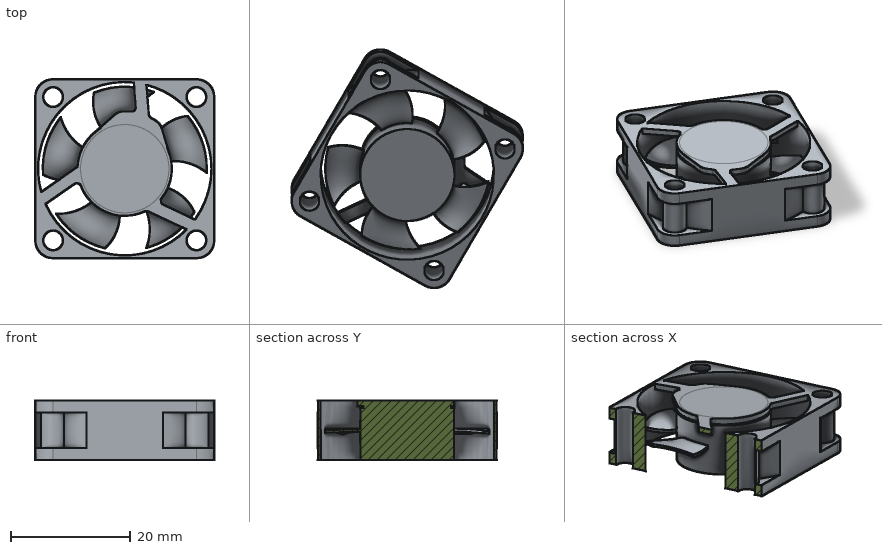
import cadquery as cq
import math

frame_side = 30.0
frame_height = 10.0
corner_radius = 3.0
bore_radius = 14.5
flange_thickness = 2.0
duct_wall_radius = 16.3
mount_spacing = 24.0
mount_hole_diameter = 3.25
post_radius = 2.0

plate_radius = 7.9
plate_thickness = 1.0
spoke_count = 3
spoke_width = 2.1
spoke_offset = 3.75
spoke_embed = 0.2
spoke_angle = 94.8
lobe_radius = 9.6
lobe_start_normal = 16.9
lobe_end_normal = 131.4
spoke_root_fillet = 0.75
lobe_fillet = 2.4

rotor_radius = 7.9
rotor_gap = 0.25
motor_radius = 7.4
blade_count = 5
blade_tip_radius = 13.75
blade_root_radius = 7.8
blade_mid_radius = 10.9
blade_thickness = 0.5
blade_crest_height = 5.3
blade_camber_radius = 28.0
blade_crest_angle = 20.0
leading_edge_angles = (9.2, 4.5, -2.9)
trailing_edge_angles = (48.1, 46.2, 40.1)


def polar(radius, angle):
    """Point at a radius and an angle in degrees."""
    return (radius * math.cos(math.radians(angle)), radius * math.sin(math.radians(angle)))


def cylinder(radius, bottom, top):
    """Upright cylinder on the fan axis between two heights."""
    return cq.Workplane("XY").workplane(offset=bottom).circle(radius).extrude(top - bottom)


def make_frame():
    """Square frame with open corners around four screw posts."""
    pocket_height = frame_height - 2 * flange_thickness
    middle = cq.Workplane("XY").workplane(offset=flange_thickness)

    frame = cq.Workplane("XY").rect(frame_side, frame_side).extrude(frame_height)
    frame = frame.edges("|Z").fillet(corner_radius)

    pockets = middle.rect(frame_side, frame_side).extrude(pocket_height)
    pockets = pockets.cut(cylinder(duct_wall_radius, flange_thickness, frame_height))
    posts = middle.rect(mount_spacing, mount_spacing, forConstruction=True).vertices()
    posts = posts.circle(post_radius).extrude(pocket_height)

    holes = cq.Workplane("XY").rect(mount_spacing, mount_spacing, forConstruction=True).vertices()
    holes = holes.circle(mount_hole_diameter / 2).extrude(frame_height)
    bore = cylinder(bore_radius, 0, frame_height)
    return frame.cut(pockets).union(posts).cut(bore).cut(holes)


def make_lobe(bottom):
    """Widened part of the motor plate: straight sides tangent to the plate, round outside."""
    half_span = math.degrees(math.acos(plate_radius / lobe_radius))
    start = lobe_start_normal + half_span
    end = lobe_end_normal - half_span
    lobe = (
        cq.Workplane("XY")
        .workplane(offset=bottom)
        .lineTo(*polar(plate_radius, lobe_start_normal))
        .lineTo(*polar(lobe_radius, start))
        .threePointArc(polar(lobe_radius, (start + end) / 2), polar(lobe_radius, end))
        .lineTo(*polar(plate_radius, lobe_end_normal))
        .close()
        .extrude(plate_thickness)
    )
    for angle in (start, end):
        corner_point = (*polar(lobe_radius, angle), bottom + plate_thickness / 2)
        corner = cq.selectors.NearestToPointSelector(corner_point)
        lobe = lobe.edges("|Z").edges(corner).fillet(lobe_fillet)
    return lobe


def make_spider():
    """Motor plate with its lobe, and three spokes reaching the bore."""
    bottom = frame_height - plate_thickness
    mid_height = frame_height - plate_thickness / 2
    spider = cylinder(plate_radius, bottom, frame_height).union(make_lobe(bottom))
    reach = bore_radius + spoke_embed
    root_points = []
    for index in range(spoke_count):
        angle = spoke_angle + index * 360 / spoke_count
        spoke = (
            cq.Workplane("XY")
            .workplane(offset=bottom)
            .center(reach / 2, -spoke_offset)
            .rect(reach, spoke_width)
            .extrude(plate_thickness)
            .rotate((0, 0, 0), (0, 0, 1), angle)
        )
        spider = spider.union(spoke)
        root_radius = lobe_radius if index == 0 else plate_radius
        for side in (-1, 1):
            edge_offset = spoke_offset + side * spoke_width / 2
            root_angle = angle - math.degrees(math.asin(edge_offset / root_radius))
            root_points.append((*polar(root_radius, root_angle), mid_height))
    for point in root_points:
        root = cq.selectors.NearestToPointSelector(point)
        spider = spider.edges("|Z").edges(root).fillet(spoke_root_fillet)
    return spider.intersect(cylinder(reach, bottom, frame_height))


def make_blade():
    """First blade: swept outline cut from a shallow cylindrical arch."""
    radii = (blade_root_radius, blade_mid_radius, blade_tip_radius)
    leading = [polar(r, a) for r, a in zip(radii, leading_edge_angles)]
    trailing = [polar(r, a) for r, a in zip(radii, trailing_edge_angles)]
    tip_middle = polar(blade_tip_radius, (leading_edge_angles[-1] + trailing_edge_angles[-1]) / 2)
    outline = (
        cq.Workplane("XY")
        .moveTo(*leading[0])
        .threePointArc(leading[1], leading[2])
        .threePointArc(tip_middle, trailing[2])
        .threePointArc(trailing[1], trailing[0])
        .close()
        .extrude(frame_height)
    )
    arch = (
        cq.Workplane("YZ")
        .center(0, blade_crest_height - blade_camber_radius)
        .circle(blade_camber_radius)
        .circle(blade_camber_radius - blade_thickness)
        .extrude(frame_side)
        .rotate((0, 0, 0), (0, 0, 1), blade_crest_angle)
    )
    return outline.intersect(arch)


def make_rotor():
    """Rotor cup, the motor body above it and the ring of blades."""
    plate_bottom = frame_height - plate_thickness
    rotor = cylinder(rotor_radius, 0, plate_bottom - rotor_gap)
    rotor = rotor.union(cylinder(motor_radius, 0, frame_height))
    blade = make_blade()
    for index in range(blade_count):
        rotor = rotor.union(blade.rotate((0, 0, 0), (0, 0, 1), index * 360 / blade_count))
    return rotor


result = make_frame().union(make_spider()).union(make_rotor(), clean=False)